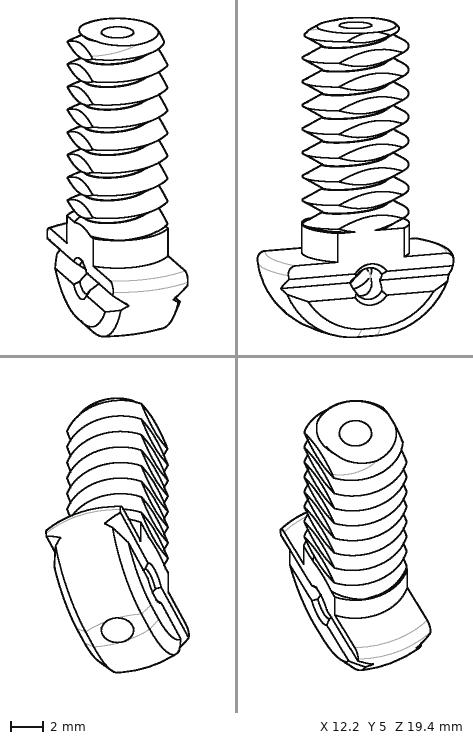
import cadquery as cq
import math

TOTAL_HEIGHT = 19.35
WIDTH = 5.0
HALF_WIDTH = WIDTH / 2

HEAD_LENGTH = 12.2
HEAD_HEIGHT = 5.0
HEAD_END_RADIUS = HEAD_LENGTH / 2
SIDE_RADIUS = 5.19
RIM_RADIUS = 0.5
BOTTOM_CHAMFER = 0.62
SECTION_COUNT = 7

GROOVE_DEPTH = 1.0
GROOVE_HALF_HEIGHT = 0.75
GROOVE_Z = 3.4

HOLE_DIAMETER = 2.0
COUNTERSINK_DEPTH = 0.3

COLLAR_DIAMETER = 6.7
COLLAR_TOP = 6.81
CREST_RADIUS = 3.3
ROOT_RADIUS = 2.05
PITCH = 12.0 / 8
FIRST_CREST_Z = 5.38
ROOT_FILL = 0.02
CORE_RADIUS = ROOT_RADIUS + ROOT_FILL
ROOT_GAP = 0.02
RIB_OVERLAP = 0.2
TIP_RADIUS = 2.53


def end_inset(y):
    """How far the bowed end falls back from its middle at a given Y."""
    return HEAD_END_RADIUS - math.sqrt(HEAD_END_RADIUS**2 - y**2)


def head_profile(y):
    """Closed XZ outline of the head at a given Y: flat bottom, arc sides, rounded rim."""
    rim_z = HEAD_HEIGHT - RIM_RADIUS
    reach = SIDE_RADIUS - RIM_RADIUS
    slope = math.asin((SIDE_RADIUS - rim_z) / reach)
    rim_x = HEAD_LENGTH / 2 - end_inset(y) - RIM_RADIUS
    centre_x = rim_x - reach * math.cos(slope)

    def on_side(angle):
        x = centre_x + SIDE_RADIUS * math.cos(angle)
        return x, SIDE_RADIUS - SIDE_RADIUS * math.sin(angle)

    def on_rim(angle):
        return rim_x + RIM_RADIUS * math.cos(angle), rim_z + RIM_RADIUS * math.sin(angle)

    def mirrored(point):
        return -point[0], point[1]

    side_middle = on_side((slope + math.pi / 2) / 2)
    side_end = on_side(slope)
    rim_middle = on_rim((math.pi / 2 - slope) / 2)
    rim_end = (rim_x, HEAD_HEIGHT)
    bottom_end = (centre_x, 0)
    outline = (
        cq.Workplane("XZ", origin=(0, y, 0))
        .moveTo(*mirrored(bottom_end))
        .lineTo(*bottom_end)
        .threePointArc(side_middle, side_end)
        .threePointArc(rim_middle, rim_end)
        .lineTo(*mirrored(rim_end))
        .threePointArc(mirrored(rim_middle), mirrored(side_end))
        .threePointArc(mirrored(side_middle), mirrored(bottom_end))
        .close()
    )
    return outline.wires().val()


def grooved_head():
    """Lofted T-head with a V-groove along each flat face and chamfered lower edges."""
    step = WIDTH / (SECTION_COUNT - 1)
    profiles = [head_profile(-HALF_WIDTH + i * step) for i in range(SECTION_COUNT)]
    head = cq.Workplane(cq.Solid.makeLoft(profiles))
    for side in (-1, 1):
        groove = (
            cq.Workplane("YZ")
            .moveTo(side * HALF_WIDTH, GROOVE_Z - GROOVE_HALF_HEIGHT)
            .lineTo(side * (HALF_WIDTH - GROOVE_DEPTH), GROOVE_Z)
            .lineTo(side * HALF_WIDTH, GROOVE_Z + GROOVE_HALF_HEIGHT)
            .close()
            .extrude(HEAD_LENGTH, both=True)
        )
        head = head.cut(groove)
    for selector in ("<Y", ">Y"):
        face_edges = head.faces(selector).edges()
        lower_edges = face_edges.filter(lambda edge: edge.Center().z < GROOVE_Z / 2)
        head = lower_edges.chamfer(BOTTOM_CHAMFER)
    return head


def collar():
    """Plain cylinder between the head and the thread."""
    return (
        cq.Workplane("XY", origin=(0, 0, HEAD_HEIGHT))
        .circle(COLLAR_DIAMETER / 2)
        .extrude(COLLAR_TOP - HEAD_HEIGHT)
    )


def threaded_shank():
    """Right-hand V-thread on a plain core, trimmed to a 45 degree lead-in at the tip."""
    helix_height = TOTAL_HEIGHT + PITCH - FIRST_CREST_Z
    core = (
        cq.Workplane("XY", origin=(0, 0, FIRST_CREST_Z - PITCH))
        .circle(CORE_RADIUS)
        .extrude(helix_height + 2 * PITCH)
    )
    half_base = (PITCH - ROOT_GAP) / 2
    buried_radius = ROOT_RADIUS - RIB_OVERLAP
    helix = cq.Wire.makeHelix(PITCH, helix_height, ROOT_RADIUS)
    rib = (
        cq.Workplane("XZ")
        .moveTo(CREST_RADIUS, 0)
        .lineTo(ROOT_RADIUS, half_base)
        .lineTo(buried_radius, half_base)
        .lineTo(buried_radius, -half_base)
        .lineTo(ROOT_RADIUS, -half_base)
        .close()
        .sweep(cq.Workplane(helix), isFrenet=True)
        .translate((0, 0, FIRST_CREST_Z))
    )
    envelope_radius = COLLAR_DIAMETER / 2
    envelope = (
        cq.Workplane("XY", origin=(0, 0, COLLAR_TOP))
        .circle(envelope_radius)
        .extrude(TOTAL_HEIGHT - COLLAR_TOP)
        .faces(">Z")
        .chamfer(envelope_radius - TIP_RADIUS)
    )
    return core.union(rib, clean=False).intersect(envelope, clean=False)


def holes():
    """Axial through bore, and a cross hole countersunk at both flat faces."""
    axial = cq.Workplane("XY").circle(HOLE_DIAMETER / 2).extrude(TOTAL_HEIGHT)
    cross = (
        cq.Workplane("XZ", origin=(0, 0, GROOVE_Z))
        .circle(HOLE_DIAMETER / 2)
        .extrude(HALF_WIDTH, both=True)
    )
    tools = axial.union(cross)
    for side in (-1, 1):
        mouth = cq.Solid.makeCone(
            HOLE_DIAMETER / 2 + COUNTERSINK_DEPTH,
            HOLE_DIAMETER / 2,
            COUNTERSINK_DEPTH,
            pnt=cq.Vector(0, side * HALF_WIDTH, GROOVE_Z),
            dir=cq.Vector(0, -side, 0),
        )
        tools = tools.union(cq.Workplane(mouth))
    return tools


flats = cq.Workplane("XY").box(
    HEAD_LENGTH, WIDTH, TOTAL_HEIGHT, centered=(True, True, False)
)
shank = collar().union(threaded_shank()).intersect(flats)
result = grooved_head().union(shank).cut(holes())